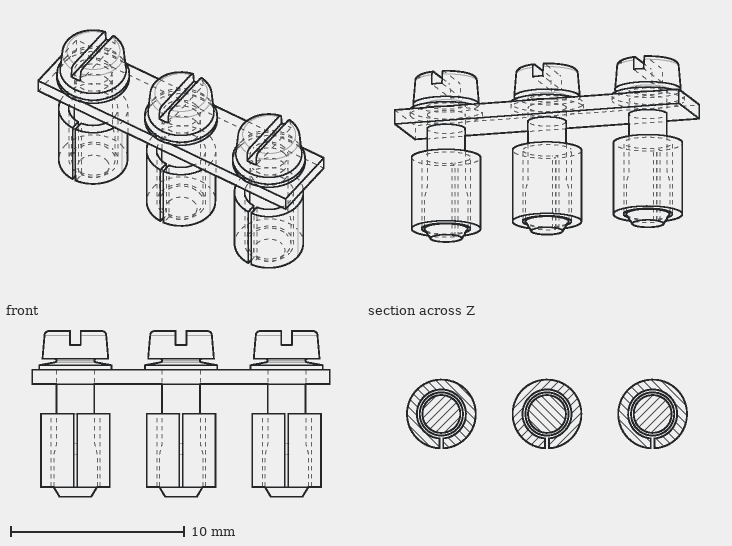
import cadquery as cq
import math


bar_length = 17.2
bar_width = 3.99
bar_thickness = 0.85

station_count = 3
station_pitch = 6.1

sleeve_radius = bar_width / 2
bore_radius = 1.41
sleeve_height = 4.25
sleeve_gap = 1.7
slit_width = 0.2
sleeve_top = -sleeve_gap
sleeve_bottom = sleeve_top - sleeve_height

shank_radius = 1.1
lower_end_radius = 1.25
shank_taper_depth = 1.72
shank_taper_top = sleeve_top - shank_taper_depth
shank_taper_height = 0.62
tip_radius = 0.91
tip_projection = 0.57
tip_z = sleeve_bottom - tip_projection

collar_radius = 2.1
collar_rim_height = 0.25
collar_cone_height = 0.19
rim_top = bar_thickness + collar_rim_height
cone_top = rim_top + collar_cone_height

neck_radius = shank_radius
neck_fillet = 0.09
head_gap = 0.62
head_height = 1.62
head_base_radius = 1.91
head_draft_angle = 5.0
head_fillet = 0.25
slot_width = 0.62
slot_depth = 0.8
head_bottom = bar_thickness + head_gap
head_top = head_bottom + head_height
head_top_radius = head_base_radius - head_height * math.tan(math.radians(head_draft_angle))


def make_bar(stations):
    """Flat bar with one hole per screw."""
    bar = cq.Workplane("XY").box(bar_length, bar_width, bar_thickness, centered=(True, True, False))
    holes = [(x, 0) for x in stations]
    return bar.faces(">Z").workplane(origin=(0, 0, 0)).pushPoints(holes).hole(2 * shank_radius)


def make_sleeve(x):
    """Tube with a full-height slit through its -Y wall."""
    tube = (
        cq.Workplane("XY", origin=(x, 0, sleeve_bottom))
        .circle(sleeve_radius)
        .circle(bore_radius)
        .extrude(sleeve_height)
    )
    slit = cq.Workplane("XY", origin=(x, -sleeve_radius / 2, sleeve_bottom)).box(
        slit_width, sleeve_radius, sleeve_height, centered=(True, True, False)
    )
    return tube.cut(slit)


def is_neck_edge(edge):
    """True for the circles where the neck meets the collar and the head."""
    return edge.Center().z > rim_top and edge.radius() < neck_radius + neck_fillet


def make_screw(x):
    """Slotted screw: turned body with a captive collar, rounded head and driver slot."""
    half_profile = [
        (0, tip_z),
        (tip_radius, tip_z),
        (lower_end_radius, sleeve_bottom),
        (lower_end_radius, shank_taper_top - shank_taper_height),
        (shank_radius, shank_taper_top),
        (shank_radius, bar_thickness),
        (collar_radius, bar_thickness),
        (collar_radius, rim_top),
        (neck_radius, cone_top),
        (neck_radius, head_bottom),
        (head_base_radius, head_bottom),
        (head_top_radius, head_top),
        (0, head_top),
    ]
    body = cq.Workplane("XZ").polyline(half_profile).close().revolve(360, (0, 0, 0), (0, 1, 0))
    body = body.edges("%CIRCLE").filter(is_neck_edge).fillet(neck_fillet)
    body = body.faces(">Z").edges().fillet(head_fillet)
    slot = cq.Workplane("XY", origin=(0, 0, head_top - slot_depth)).box(
        slot_width, 2 * head_base_radius, slot_depth, centered=(True, True, False)
    )
    return body.cut(slot).translate((x, 0, 0))


stations = [(i - (station_count - 1) / 2) * station_pitch for i in range(station_count)]

bar = make_bar(stations)
sleeves = [make_sleeve(x) for x in stations]
screws = [make_screw(x) for x in stations]

result = cq.Compound.makeCompound(
    [
        bar.val(),
        *[sleeve.val() for sleeve in sleeves],
        *[screw.val() for screw in screws],
    ]
)